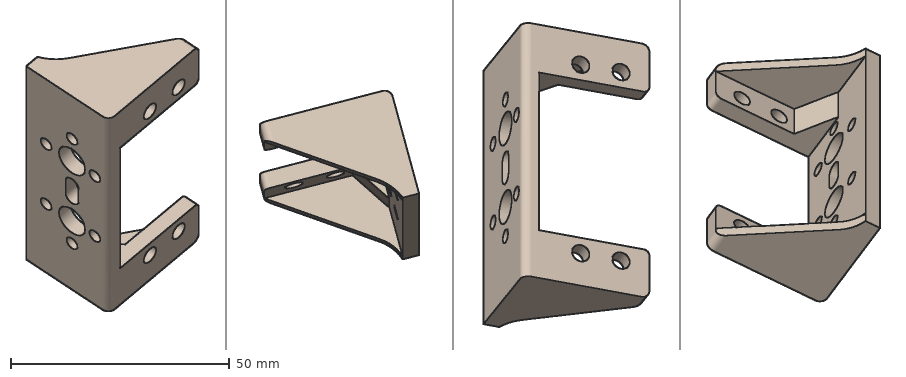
import cadquery as cq
import math

width = 25.4
depth = 31
height = 66

plate_thickness = 3.9
tab_thickness = 4.0
gusset_thickness = 3.0
tab_height = 12.5
tab_inner_x = width - tab_thickness

plate_edge_radius = 2
tab_outer_radius = 2
tab_inner_radius = 1.5

slope_angle = math.radians(55.2)
lower_arc_start_y = 7.8
upper_arc_start_y = 8.45

wedge_top_y = 10.1
wedge_angle = math.radians(33)
wedge_round_y = 4.7
wedge_toe_chord_angle = math.radians(37.5)

tab_hole_diameter = 4.2
tab_hole_ys = (14.1, 24.0)
tab_hole_inset = 8.45

pattern_x = 14.05
pattern_z = 33.65
large_diameter = 8.0
large_offset_z = 10.2
small_diameter = 3.3
small_offset_left = 7.9
small_offset_right = 7.0
small_offset_z = 17.8
slot_length = 8.2
slot_width = 3.95


def horizontal_prism(sketch, bottom, thickness):
    """Extrude an XY outline upward from the given level."""
    return sketch.extrude(thickness).translate((0, 0, bottom))


def gusset(bottom, arc_start_y):
    """Triangular end web with a concave toe at the plate."""
    arc_start_x = tab_inner_x - (depth - arc_start_y) / math.tan(slope_angle)
    outline = (
        cq.Workplane("XY")
        .moveTo(width, 0)
        .lineTo(width, depth)
        .lineTo(tab_inner_x, depth)
        .lineTo(arc_start_x, arc_start_y)
        .tangentArcPoint((0, plate_thickness), relative=False)
        .lineTo(0, 0)
        .close()
    )
    return horizontal_prism(outline, bottom, gusset_thickness)


def wedge(bottom):
    """Sloping root between tab and plate, with a slightly convex toe on the plate."""
    round_x = tab_inner_x - (wedge_top_y - wedge_round_y) / math.tan(wedge_angle)
    round_end_x = round_x - (wedge_round_y - plate_thickness) / math.tan(wedge_toe_chord_angle)
    outline = (
        cq.Workplane("XY")
        .moveTo(width - plate_edge_radius, plate_thickness / 2)
        .lineTo(width - plate_edge_radius, wedge_top_y)
        .lineTo(tab_inner_x, wedge_top_y)
        .lineTo(round_x, wedge_round_y)
        .tangentArcPoint((round_end_x, plate_thickness), relative=False)
        .lineTo(round_end_x, plate_thickness / 2)
        .close()
    )
    return horizontal_prism(outline, bottom, tab_height)


def tab(bottom):
    """Upright ear along the +X side."""
    ear = cq.Workplane("XY").box(tab_thickness, depth, tab_height, centered=False)
    return ear.translate((tab_inner_x, 0, bottom))


def tab_corner_cutter(z_corner, z_direction, radius):
    """Waste at a rear tab corner; z_direction points from the corner into the tab."""
    z_tangent = z_corner + z_direction * radius
    diagonal = radius * (1 - math.sqrt(0.5))
    return (
        cq.Workplane("YZ")
        .moveTo(depth, z_corner)
        .lineTo(depth, z_tangent)
        .threePointArc(
            (depth - diagonal, z_corner + z_direction * diagonal),
            (depth - radius, z_corner),
        )
        .close()
        .extrude(width)
    )


def plate_cutter(x, z, diameter):
    """Cylinder through the plate along Y."""
    circle = cq.Workplane("XZ").center(x, z).circle(diameter / 2)
    return circle.extrude(-plate_thickness)


body = cq.Workplane("XY").box(width, plate_thickness, height, centered=False)
body = body.union(gusset(0, lower_arc_start_y))
body = body.union(gusset(height - gusset_thickness, upper_arc_start_y))
for tab_bottom in (0, height - tab_height):
    body = body.union(tab(tab_bottom)).union(wedge(tab_bottom))

body = body.edges("|Z and >X and <Y").fillet(plate_edge_radius)

for z_corner, z_direction, radius in (
    (0, 1, tab_outer_radius),
    (tab_height, -1, tab_inner_radius),
    (height - tab_height, 1, tab_inner_radius),
    (height, -1, tab_outer_radius),
):
    body = body.cut(tab_corner_cutter(z_corner, z_direction, radius))

tab_hole_points = [(y, z) for y in tab_hole_ys for z in (tab_hole_inset, height - tab_hole_inset)]
tab_holes = cq.Workplane("YZ").pushPoints(tab_hole_points).circle(tab_hole_diameter / 2).extrude(width)
body = body.cut(tab_holes)

for side in (-1, 1):
    row_z = pattern_z + side * large_offset_z
    body = body.cut(plate_cutter(pattern_x, row_z, large_diameter))
    body = body.cut(plate_cutter(pattern_x - small_offset_left, row_z, small_diameter))
    body = body.cut(plate_cutter(pattern_x + small_offset_right, row_z, small_diameter))
    body = body.cut(plate_cutter(pattern_x, pattern_z + side * small_offset_z, small_diameter))

slot = cq.Workplane("XZ").center(pattern_x, pattern_z).slot2D(slot_length, slot_width, 90)
result = body.cut(slot.extrude(-plate_thickness))